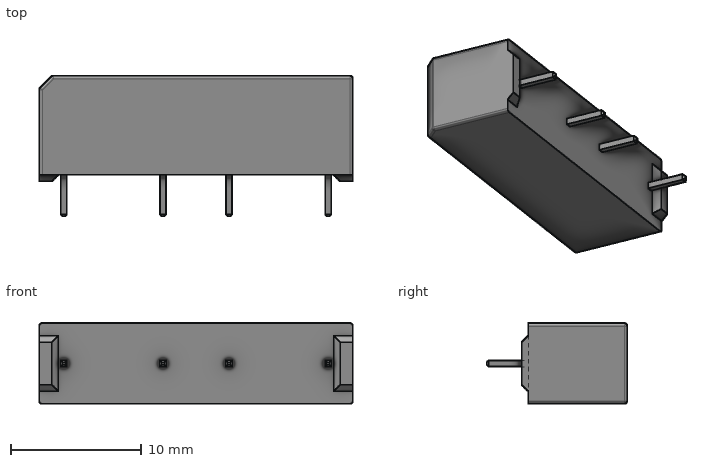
import cadquery as cq

LENGTH = 24.13
HEIGHT = 6.23
OVERALL_DEPTH = 10.8
PIN_LENGTH = 3.19
BODY_DEPTH = OVERALL_DEPTH - PIN_LENGTH
CORNER_CUT = 1.0
EDGE_RADIUS = 0.25

FOOT_LENGTH = 1.5
FOOT_HEIGHT = 4.3
FOOT_DEPTH = 0.5

PIN_WIDTH = 0.48
PIN_TIP_BEVEL = 0.15
OUTER_PIN_X = 10.15
INNER_PIN_X = OUTER_PIN_X / 4


def make_housing():
    """Block with one cut corner, rounded everywhere except around the pin face."""
    block = cq.Workplane("XY").box(LENGTH, BODY_DEPTH, HEIGHT, centered=(True, False, True))
    block = block.edges("<X and >Y").chamfer(CORNER_CUT)
    pin_face_edges = block.faces("<Y").edges().vals()
    rounded_edges = [
        edge for edge in block.edges().vals()
        if not any(edge.isSame(kept) for kept in pin_face_edges)
    ]
    return block.newObject(rounded_edges).fillet(EDGE_RADIUS)


def make_foot(side):
    """Foot flush with the end at side = -1 or +1, sloping at 45 degrees on its other three sides."""
    end_x = side * LENGTH / 2
    frustum = (
        cq.Workplane("XZ", origin=(end_x, 0, 0))
        .rect(2 * FOOT_LENGTH, FOOT_HEIGHT)
        .extrude(FOOT_DEPTH, taper=45)
    )
    inner_half = cq.Workplane("XY").box(LENGTH, 2 * FOOT_DEPTH, HEIGHT)
    return frustum.intersect(inner_half)


def make_pin(x):
    """Square pin with a bevelled tip."""
    return (
        cq.Workplane("XZ", origin=(x, 0, 0))
        .rect(PIN_WIDTH, PIN_WIDTH)
        .extrude(PIN_LENGTH)
        .faces("<Y")
        .chamfer(PIN_TIP_BEVEL)
    )


result = make_housing()
for side in (-1, 1):
    result = result.union(make_foot(side))
    for pin_x in (OUTER_PIN_X, INNER_PIN_X):
        result = result.union(make_pin(side * pin_x))